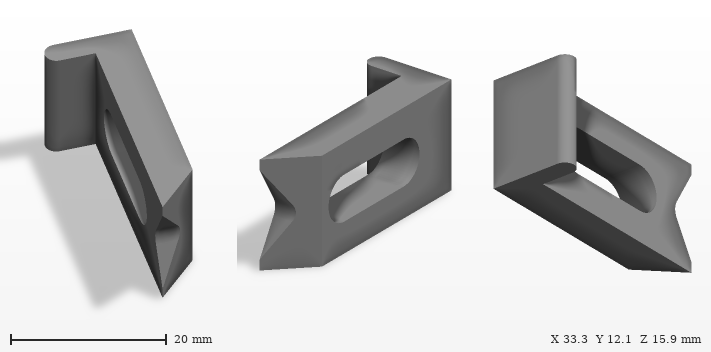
import cadquery as cq
import math

length = 33.32
height = 15.88
mid_height = height / 2
bar_thickness = 5.715
leg_drop = 6.35
leg_width = 3.05
leg_tip_radius = leg_width / 2
total_depth = bar_thickness + leg_drop

slot_width = 6.73
slot_length = 19.4
slot_start = 6.8

notch_mouth = 12.8
notch_half_angle = math.radians(60)
notch_root_radius = 2.4


def build_body():
    """L-shaped clamp profile with a 45 degree end and a round-nosed leg."""
    profile = (
        cq.Workplane("XY")
        .moveTo(0, total_depth)
        .lineTo(0, leg_tip_radius)
        .threePointArc((leg_tip_radius, 0), (leg_width, leg_tip_radius))
        .lineTo(leg_width, leg_drop)
        .lineTo(length, leg_drop)
        .lineTo(length - bar_thickness, total_depth)
        .close()
    )
    return profile.extrude(height)


def build_slot():
    """Round-ended slot running through the bar along Y."""
    return (
        cq.Workplane("XZ")
        .center(slot_start + slot_length / 2, mid_height)
        .slot2D(slot_length, slot_width)
        .extrude(-total_depth)
    )


def build_notch():
    """V notch with a rounded root, running through the bar along Y."""
    notch_depth = notch_mouth / 2 / math.tan(notch_half_angle)
    half_mouth = notch_mouth / 2
    wedge = (
        cq.Workplane("XZ")
        .moveTo(length, mid_height - half_mouth)
        .lineTo(length - notch_depth, mid_height)
        .lineTo(length, mid_height + half_mouth)
        .close()
        .extrude(-total_depth)
    )
    return wedge.edges("<X").fillet(notch_root_radius)


result = build_body().cut(build_slot()).cut(build_notch())